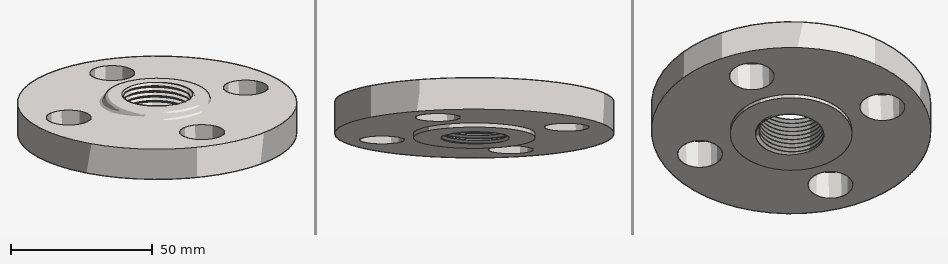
import cadquery as cq
import math

flange_diameter = 98.5
flange_thickness = 11.3

face_diameter = 43.0
face_height = 1.5

hub_height = 3.0
hub_foot_radius = 19.1
hub_rim_radius = 18.3
hub_blend_radius = 1.6
selection_margin = 0.1

bolt_count = 4
bolt_circle_diameter = 69.9
bolt_hole_diameter = 15.8

crest_radius_at_rim = 11.8
taper_on_radius = 1 / 32
thread_length = 18.1
thread_turns = 10
thread_depth = 1.3
thread_half_angle = 30.0
thread_root_flat = 0.2
thread_overrun = 1.2
thread_start_angle = 20.0
groove_overlap = 0.1

flange_bottom = face_height
flange_top = flange_bottom + flange_thickness
hub_top = flange_top + hub_height
thread_pitch = thread_length / thread_turns


def crest_radius(z):
    """Radius of the tapered bore at height z."""
    return crest_radius_at_rim - (hub_top - z) * taper_on_radius


def make_flange():
    disc_plane = cq.Workplane("XY", origin=(0, 0, flange_bottom))
    disc = disc_plane.circle(flange_diameter / 2).extrude(flange_thickness)
    raised_face = cq.Workplane("XY").circle(face_diameter / 2).extrude(face_height)
    return disc.union(raised_face)


def add_hub(flange):
    hub = (
        cq.Workplane("XZ")
        .moveTo(0, flange_top)
        .lineTo(hub_foot_radius, flange_top)
        .lineTo(hub_rim_radius, hub_top)
        .lineTo(0, hub_top)
        .close()
        .revolve(360, (0, 0, 0), (0, 1, 0))
    )
    body = flange.union(hub)
    body = body.faces(">Z").edges().fillet(hub_blend_radius)
    margin = cq.Vector(selection_margin, selection_margin, selection_margin)
    low_corner = cq.Vector(-hub_foot_radius, -hub_foot_radius, flange_top) - margin
    high_corner = cq.Vector(hub_foot_radius, hub_foot_radius, flange_top) + margin
    foot_edge = cq.selectors.BoxSelector(low_corner.toTuple(), high_corner.toTuple(), boundingbox=True)
    return body.edges(foot_edge).fillet(hub_blend_radius)


def make_bolt_holes():
    return (
        cq.Workplane("XY", origin=(0, 0, flange_bottom))
        .polarArray(bolt_circle_diameter / 2, 0, 360, bolt_count)
        .circle(bolt_hole_diameter / 2)
        .extrude(flange_thickness)
    )


def make_tapered_bore():
    return (
        cq.Workplane("XZ")
        .lineTo(crest_radius(0), 0)
        .lineTo(crest_radius(hub_top), hub_top)
        .lineTo(0, hub_top)
        .close()
        .revolve(360, (0, 0, 0), (0, 1, 0))
    )


def thread_helix(radial_offset, height_offset):
    """Conical helix along one corner of the groove, offset from the bore surface."""
    helix = cq.Wire.makeHelix(
        thread_pitch,
        thread_length,
        crest_radius(-thread_overrun) + radial_offset,
        angle=math.degrees(math.atan(taper_on_radius)),
    )
    return helix.translate(cq.Vector(0, 0, height_offset - thread_overrun))


def make_thread_groove():
    """Helical V groove: four ruled faces between corner helices, closed by two flat ends."""
    root_half_width = thread_root_flat / 2
    flank_height = thread_depth + groove_overlap
    mouth_half_width = root_half_width + flank_height * math.tan(math.radians(thread_half_angle))
    helices = [
        thread_helix(-groove_overlap, -mouth_half_width),
        thread_helix(thread_depth, -root_half_width),
        thread_helix(thread_depth, root_half_width),
        thread_helix(-groove_overlap, mouth_half_width),
    ]
    faces = []
    for helix, next_helix in zip(helices, helices[1:] + helices[:1]):
        faces.extend(cq.Face.makeRuledSurface(helix, next_helix).Faces())
    for end_points in (
        [helix.startPoint() for helix in helices],
        [helix.endPoint() for helix in helices],
    ):
        faces.append(cq.Face.makeFromWires(cq.Wire.makePolygon(end_points, close=True)))
    groove = cq.Solid.makeSolid(cq.Shell.makeShell(faces))
    return cq.Workplane(groove).rotate((0, 0, 0), (0, 0, 1), thread_start_angle)


body = add_hub(make_flange())
body = body.cut(make_bolt_holes())
body = body.cut(make_tapered_bore())
result = body.cut(make_thread_groove())